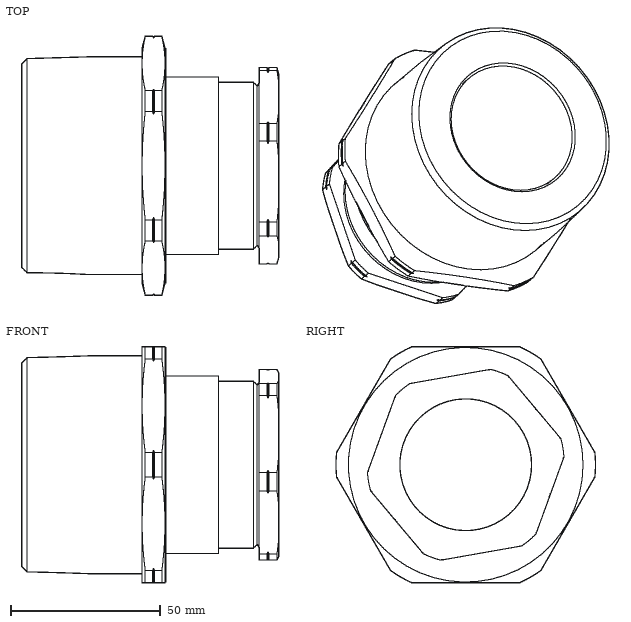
import cadquery as cq
import math

overall_length = 86.0
bore_radius = 22.0
bore_chamfer = 0.8

entry_face_radius = 34.1
entry_chamfer_length = 1.8
taper_start_radius = 35.9
taper_end_x = 22.4
barrel_radius = 36.5

flange_start_x = 40.2
flange_thickness = 7.8
flange_across_flats = 79.0
flange_face_radius = 39.25
flange_washer_thickness = 0.3

sleeve_radius = 29.75
sleeve_end_x = 65.9
spigot_radius = 28.0
spigot_end_x = 78.8
spigot_chamfer = 1.3

nut_start_x = 79.4
nut_across_flats = 60.0
nut_face_radius = 30.75
nut_seat_radius = 27.7
nut_turn_angle = 10.0

corner_ratio = 1.1
bevel_angle = 15.0
groove_half_width = 0.35
groove_depth = 0.35


def revolve_about_x(points):
    """Revolve a closed (x, radius) outline about the X axis."""
    return cq.Workplane("XY").polyline(points).close().revolve(360, (0, 0, 0), (1, 0, 0))


def hexagon(start_x, thickness, across_flats, face_radius, turn_angle, bevel_start_side):
    """Hexagon with turned corners, end bevels and a V groove around the corners."""
    end_x = start_x + thickness
    corner_radius = corner_ratio * across_flats / 2
    bevel_length = (corner_radius - face_radius) * math.tan(math.radians(bevel_angle))

    band_start_x = start_x + bevel_length if bevel_start_side else start_x
    band_end_x = end_x - bevel_length
    groove_x = (band_start_x + band_end_x) / 2

    outline = [(start_x, 0)]
    if bevel_start_side:
        outline.append((start_x, face_radius))
    outline += [
        (band_start_x, corner_radius),
        (groove_x - groove_half_width, corner_radius),
        (groove_x, corner_radius - groove_depth),
        (groove_x + groove_half_width, corner_radius),
        (band_end_x, corner_radius),
        (end_x, face_radius),
        (end_x, 0),
    ]
    across_corners = across_flats / math.cos(math.pi / 6)
    prism = (
        cq.Workplane("YZ", origin=(start_x, 0, 0))
        .polygon(6, across_corners)
        .extrude(thickness)
        .rotate((0, 0, 0), (1, 0, 0), turn_angle)
    )
    return prism.intersect(revolve_about_x(outline))


def turned_body():
    """Tapered barrel, flange washer face, sleeve, chamfered spigot and nut seat cone."""
    flange_end_x = flange_start_x + flange_thickness
    washer_end_x = flange_end_x + flange_washer_thickness
    neck_radius = spigot_radius - spigot_chamfer
    return revolve_about_x([
        (0, 0),
        (0, entry_face_radius),
        (entry_chamfer_length, taper_start_radius),
        (taper_end_x, barrel_radius),
        (flange_end_x, barrel_radius),
        (flange_end_x, flange_face_radius),
        (washer_end_x, flange_face_radius),
        (washer_end_x, sleeve_radius),
        (sleeve_end_x, sleeve_radius),
        (sleeve_end_x, spigot_radius),
        (spigot_end_x - spigot_chamfer, spigot_radius),
        (spigot_end_x, neck_radius),
        (nut_start_x, nut_seat_radius),
        (nut_start_x, 0),
    ])


def bore():
    """Through bore with a chamfered entry."""
    return revolve_about_x([
        (0, 0),
        (0, bore_radius + bore_chamfer),
        (bore_chamfer, bore_radius),
        (overall_length, bore_radius),
        (overall_length, 0),
    ])


flange = hexagon(
    start_x=flange_start_x,
    thickness=flange_thickness,
    across_flats=flange_across_flats,
    face_radius=flange_face_radius,
    turn_angle=0,
    bevel_start_side=True,
)
nut = hexagon(
    start_x=nut_start_x,
    thickness=overall_length - nut_start_x,
    across_flats=nut_across_flats,
    face_radius=nut_face_radius,
    turn_angle=nut_turn_angle,
    bevel_start_side=False,
)

result = turned_body().union(flange).union(nut).cut(bore())